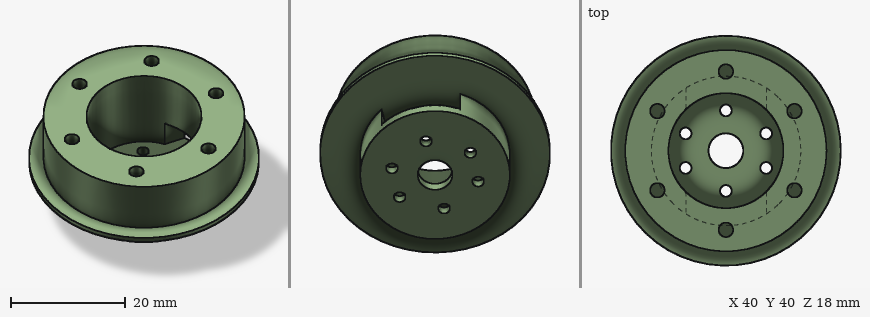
import cadquery as cq

flange_diameter = 40.0
flange_thickness = 1.0

drum_diameter = 35.0
drum_height = 10.0

cup_diameter = 26.0
cup_height = 7.0
floor_thickness = 2.0

bore_diameter = 20.0

window_width = 14.0
window_height = cup_height - floor_thickness

center_hole_diameter = 6.0
floor_hole_diameter = 2.0
floor_hole_offset = 7.0
floor_hole_half_spacing = 3.0
floor_hole_points = [(0, floor_hole_offset), (0, -floor_hole_offset)]
for x in (-floor_hole_offset, floor_hole_offset):
    for y in (-floor_hole_half_spacing, floor_hole_half_spacing):
        floor_hole_points.append((x, y))

drum_hole_diameter = 2.5
drum_hole_circle_radius = 13.75
drum_hole_depth = drum_height
drum_hole_count = 6
first_drum_hole_angle = 90.0

flange_top = cup_height + flange_thickness
total_height = flange_top + drum_height


def cylinder(diameter, bottom, height):
    """Solid cylinder on the Z axis."""
    return cq.Workplane("XY").workplane(offset=bottom).circle(diameter / 2).extrude(height)


cup = cylinder(cup_diameter, 0, cup_height)
flange = cylinder(flange_diameter, cup_height, flange_thickness)
drum = cylinder(drum_diameter, flange_top, drum_height)
body = cup.union(flange).union(drum)

bore = cylinder(bore_diameter, floor_thickness, total_height - floor_thickness)
center_hole = cylinder(center_hole_diameter, 0, floor_thickness)

window = (
    cq.Workplane("XY")
    .workplane(offset=floor_thickness)
    .rect(window_width, flange_diameter)
    .extrude(window_height)
)

floor_holes = (
    cq.Workplane("XY")
    .pushPoints(floor_hole_points)
    .circle(floor_hole_diameter / 2)
    .extrude(floor_thickness)
)

drum_holes = (
    cq.Workplane("XY")
    .workplane(offset=total_height)
    .polarArray(drum_hole_circle_radius, first_drum_hole_angle, 360, drum_hole_count)
    .circle(drum_hole_diameter / 2)
    .extrude(-drum_hole_depth)
)

result = body.cut(bore).cut(center_hole).cut(window).cut(floor_holes).cut(drum_holes)